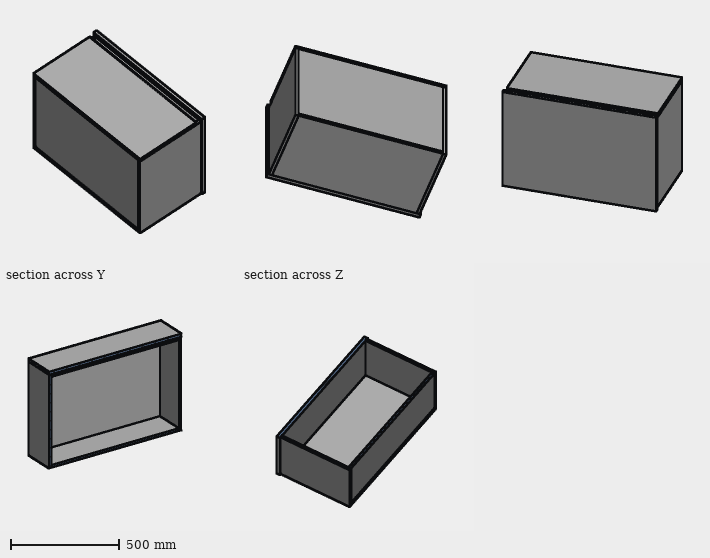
import cadquery as cq

WIDTH = 750.0
DEPTH = 400.0
HEIGHT = 500.0

BOARD = 16.0
DOOR_THICKNESS = 20.0
DOOR_OVERHANG = 6.0
TOP_DROP = 4.0
GRIP_GAP = 28.0
NOSE = 5.0

CARCASS_WIDTH = WIDTH - 2 * DOOR_OVERHANG
CARCASS_DEPTH = DEPTH - DOOR_THICKNESS
CARCASS_HEIGHT = HEIGHT - TOP_DROP - BOARD
INNER_WIDTH = CARCASS_WIDTH - 2 * BOARD
REAR_Y = -DEPTH / 2
INNER_REAR_Y = REAR_Y + BOARD
DOOR_Y = REAR_Y + CARCASS_DEPTH


def board(width, depth, height, rear_y, base_z, center_x=0.0):
    """Box centred on center_x that runs forward from rear_y and up from base_z."""
    box = cq.Workplane("XY").box(width, depth, height, centered=(True, False, False))
    return box.translate((center_x, rear_y, base_z))


def make_door():
    return board(WIDTH, DOOR_THICKNESS, HEIGHT, DOOR_Y, 0)


def make_side(direction):
    """Side panel at -X (direction -1) or +X (direction +1)."""
    center_x = direction * (CARCASS_WIDTH - BOARD) / 2
    return board(BOARD, CARCASS_DEPTH, CARCASS_HEIGHT, REAR_Y, 0, center_x)


def make_bottom():
    return board(INNER_WIDTH, CARCASS_DEPTH, BOARD, REAR_Y, 0)


def make_back():
    """Back panel standing on the bottom, flush with the rear edges of the sides."""
    return board(INNER_WIDTH, BOARD, CARCASS_HEIGHT - BOARD, REAR_Y, BOARD)


def make_inner_top():
    """Board between the sides that carries the worktop and closes the grip groove."""
    return board(INNER_WIDTH, DOOR_Y - INNER_REAR_Y, BOARD, INNER_REAR_Y, CARCASS_HEIGHT - BOARD)


def make_worktop():
    """Worktop whose edge facing the door is undercut at 45 degrees as a finger grip."""
    front_y = DOOR_Y - GRIP_GAP
    top_z = CARCASS_HEIGHT + BOARD
    undercut = BOARD - NOSE
    profile = [
        (REAR_Y, CARCASS_HEIGHT),
        (front_y - undercut, CARCASS_HEIGHT),
        (front_y, CARCASS_HEIGHT + undercut),
        (front_y, top_z),
        (REAR_Y, top_z),
    ]
    outline = cq.Workplane("YZ").polyline(profile).close()
    return outline.extrude(CARCASS_WIDTH / 2, both=True)


door = make_door()
sides = [make_side(direction) for direction in (-1, 1)]
bottom = make_bottom()
back = make_back()
inner_top = make_inner_top()
worktop = make_worktop()

result = cq.Compound.makeCompound([
    door.val(),
    *[side.val() for side in sides],
    bottom.val(),
    back.val(),
    inner_top.val(),
    worktop.val(),
])